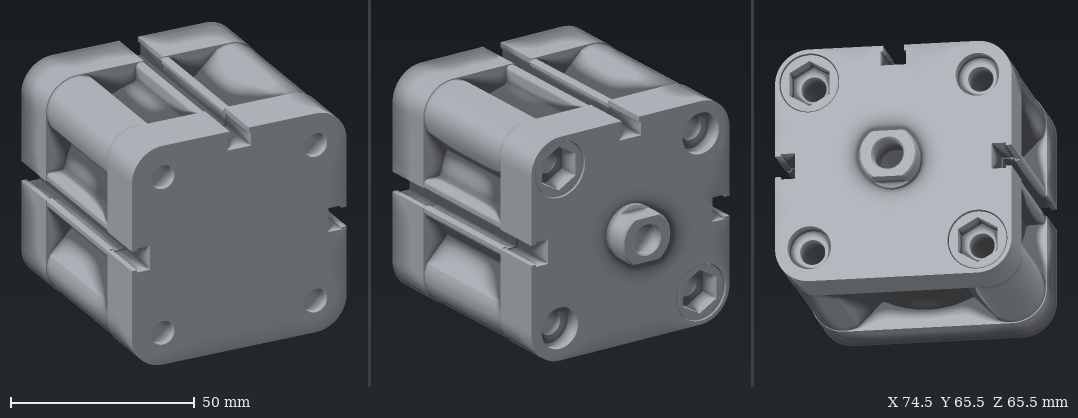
import cadquery as cq
import math


overall_length = 74.5
rod_protrusion = 8.0
cap_length = 14.75
barrel_start = rod_protrusion + cap_length
barrel_length = overall_length - rod_protrusion - 2 * cap_length

cap_side = 65.5
cap_half = cap_side / 2
cap_corner_radius = 9.45

tube_radius = 27.7
arm_width = 17.2
arm_tip_radius = 9.2
barrel_inset = 0.3
barrel_half = cap_half - barrel_inset
arm_root_fillet = 0.75
rail_half_width = 5.3
rail_edge_radius = 1.2
rail_root_fillet = 1.0
rail_mouth_chamfer = 0.6

slot_mouth_half = 2.5
slot_inner_half = 3.2
slot_lip_depth = 1.6
slot_floor = 27.6
cap_slot_clearance = 0.4
slot_face_angles = (0, 90, -90)

corner_offset = cap_half - cap_corner_radius
through_diameter = 7.0
counterbore_diameter = 12.1
counterbore_depth = 5.0
screw_corners = [(corner_offset, corner_offset), (-corner_offset, -corner_offset)]
open_corners = [(-corner_offset, corner_offset), (corner_offset, -corner_offset)]

collar_diameter = 16.0
collar_gap = 0.3
collar_recess = 0.5
collar_length = 9.45
hex_across_flats = 11.0
hex_depth = 6.5

rod_diameter = 16.0
rod_length = barrel_start
rod_tip_chamfer = 0.5
rod_flat_width = 13.0
rod_flat_length = 5.9
rod_flat_runout = 0.6
rod_hole_diameter = 8.5
rod_hole_depth = 11.9
rod_hole_chamfer = 0.45
drill_tip_angle = 118.0


def section_at(x):
    """Workplane across the cylinder axis: local x is +Y, local y is +Z."""
    return cq.Workplane("YZ", origin=(x, 0, 0))


def about_axis(shape, angle):
    """Turn a shape about the cylinder axis; the unturned position is on the +Z face."""
    return shape.rotate((0, 0, 0), (1, 0, 0), angle)


def slot_cutter(start, length, clearance, face):
    """Undercut slot below a +Z face at height `face`; `clearance` enlarges it on every side."""
    mouth = slot_mouth_half + clearance
    inner = slot_inner_half + clearance
    floor = slot_floor - clearance
    lip_underside = face - slot_lip_depth
    return (
        section_at(start)
        .moveTo(-mouth, face)
        .lineTo(-mouth, lip_underside)
        .lineTo(-inner, lip_underside)
        .lineTo(-inner, floor)
        .lineTo(inner, floor)
        .lineTo(inner, lip_underside)
        .lineTo(mouth, lip_underside)
        .lineTo(mouth, face)
        .close()
        .extrude(length)
    )


def make_cap(start):
    cap = section_at(start).rect(cap_side, cap_side).extrude(cap_length)
    cap = cap.edges("|X").fillet(cap_corner_radius)
    cutter = slot_cutter(start, cap_length, cap_slot_clearance, cap_half)
    for angle in slot_face_angles:
        cap = cap.cut(about_axis(cutter, angle))
    return cap


def make_arm():
    """Arm along +Z with flat sides and a rounded tip centred on a corner hole."""
    half_width = arm_width / 2
    tip_centre = corner_offset * math.sqrt(2)
    shoulder = tip_centre + math.sqrt(arm_tip_radius**2 - half_width**2)
    return (
        section_at(barrel_start)
        .moveTo(-half_width, 0)
        .lineTo(-half_width, shoulder)
        .threePointArc((0, tip_centre + arm_tip_radius), (half_width, shoulder))
        .lineTo(half_width, 0)
        .close()
        .extrude(barrel_length)
    )


def make_rail():
    """Rail standing on the tube along its +Z side, with rounded outer edges."""
    rail = (
        section_at(barrel_start)
        .center(0, barrel_half / 2)
        .rect(2 * rail_half_width, barrel_half)
        .extrude(barrel_length)
    )
    return rail.edges("|X and >Z").fillet(rail_edge_radius)


def make_barrel_slot():
    """Barrel slot with a 45 degree chamfer on both edges of its mouth."""
    wide_mouth_half = slot_mouth_half + rail_mouth_chamfer
    slot = slot_cutter(barrel_start, barrel_length, 0, barrel_half)
    mouth_chamfer = (
        section_at(barrel_start)
        .moveTo(-wide_mouth_half, barrel_half)
        .lineTo(-slot_mouth_half, barrel_half - rail_mouth_chamfer)
        .lineTo(slot_mouth_half, barrel_half - rail_mouth_chamfer)
        .lineTo(wide_mouth_half, barrel_half)
        .close()
        .extrude(barrel_length)
    )
    return slot.union(mouth_chamfer)


def fillet_tube_edges(barrel, half_width, angles, radius):
    """Fillet both root edges of each rib of the given half width where it leaves the tube."""
    middle = barrel_start + barrel_length / 2
    root_height = math.sqrt(tube_radius**2 - half_width**2)
    lengthwise = barrel.edges("|X")
    roots = []
    for angle in angles:
        turn = math.radians(angle)
        for side in (-half_width, half_width):
            y = side * math.cos(turn) - root_height * math.sin(turn)
            z = side * math.sin(turn) + root_height * math.cos(turn)
            nearest = cq.selectors.NearestToPointSelector((middle, y, z))
            roots.append(lengthwise.edges(nearest).val())
    return barrel.newObject(roots).fillet(radius)


def make_barrel():
    arm_angles = (45, 135, 225, 315)
    barrel = section_at(barrel_start).circle(tube_radius).extrude(barrel_length)
    arm = make_arm()
    for angle in arm_angles:
        barrel = barrel.union(about_axis(arm, angle))
    rail = make_rail()
    for angle in slot_face_angles:
        barrel = barrel.union(about_axis(rail, angle))
    barrel = fillet_tube_edges(barrel, arm_width / 2, arm_angles, arm_root_fillet)
    barrel = fillet_tube_edges(barrel, rail_half_width, slot_face_angles, rail_root_fillet)
    slot = make_barrel_slot()
    for angle in slot_face_angles:
        barrel = barrel.cut(about_axis(slot, angle))
    return barrel


def make_housing():
    """Both caps and the barrel in one piece, with the rod bore and the corner holes."""
    housing = make_barrel()
    for start in (rod_protrusion, overall_length - cap_length):
        housing = housing.union(make_cap(start))

    front = section_at(rod_protrusion)
    rod_bore = front.circle(rod_diameter / 2).extrude(cap_length)
    through_holes = (
        front.pushPoints(screw_corners + open_corners)
        .circle(through_diameter / 2)
        .extrude(overall_length - rod_protrusion)
    )
    counterbores = front.pushPoints(open_corners).circle(counterbore_diameter / 2).extrude(counterbore_depth)
    collar_seats = (
        front.pushPoints(screw_corners)
        .circle(collar_diameter / 2 + collar_gap)
        .extrude(collar_recess + collar_length)
    )
    return housing.cut(rod_bore).cut(through_holes).cut(counterbores).cut(collar_seats)


def make_collar_screw(corner):
    """Round collar set just below the cap face, with a hexagon socket and a through hole."""
    front = section_at(rod_protrusion + collar_recess).center(*corner)
    hex_circumdiameter = hex_across_flats / math.cos(math.pi / 6)
    collar = front.circle(collar_diameter / 2).extrude(collar_length)
    socket = (
        front.transformed(rotate=(0, 0, 90))
        .polygon(6, hex_circumdiameter)
        .extrude(hex_depth)
    )
    hole = front.circle(through_diameter / 2).extrude(collar_length)
    return collar.cut(socket).cut(hole)


def make_rod_flat():
    """Cutter for the wrench flat on the +Z side, with a sloped run-out at its inner end."""
    flat_height = rod_flat_width / 2
    rod_radius = rod_diameter / 2
    return (
        cq.Workplane("XZ")
        .moveTo(0, flat_height)
        .lineTo(rod_flat_length, flat_height)
        .lineTo(rod_flat_length + rod_flat_runout, rod_radius)
        .lineTo(0, rod_radius)
        .close()
        .extrude(rod_radius, both=True)
    )


def make_rod_hole():
    """Blind drilled hole with a chamfered mouth and a conical bottom."""
    hole_radius = rod_hole_diameter / 2
    cone_depth = hole_radius / math.tan(math.radians(drill_tip_angle / 2))
    return (
        cq.Workplane("XY")
        .moveTo(0, 0)
        .lineTo(0, hole_radius + rod_hole_chamfer)
        .lineTo(rod_hole_chamfer, hole_radius)
        .lineTo(rod_hole_depth, hole_radius)
        .lineTo(rod_hole_depth + cone_depth, 0)
        .close()
        .revolve(360, (0, 0, 0), (1, 0, 0))
    )


def make_rod():
    rod = section_at(0).circle(rod_diameter / 2).extrude(rod_length)
    rod = rod.faces("<X").chamfer(rod_tip_chamfer)
    flat = make_rod_flat()
    for angle in (0, 180):
        rod = rod.cut(about_axis(flat, angle))
    return rod.cut(make_rod_hole())


housing = make_housing()
rod = make_rod()
collar_screws = [make_collar_screw(corner) for corner in screw_corners]

result = cq.Compound.makeCompound(
    [housing.val(), rod.val(), *[screw.val() for screw in collar_screws]]
)